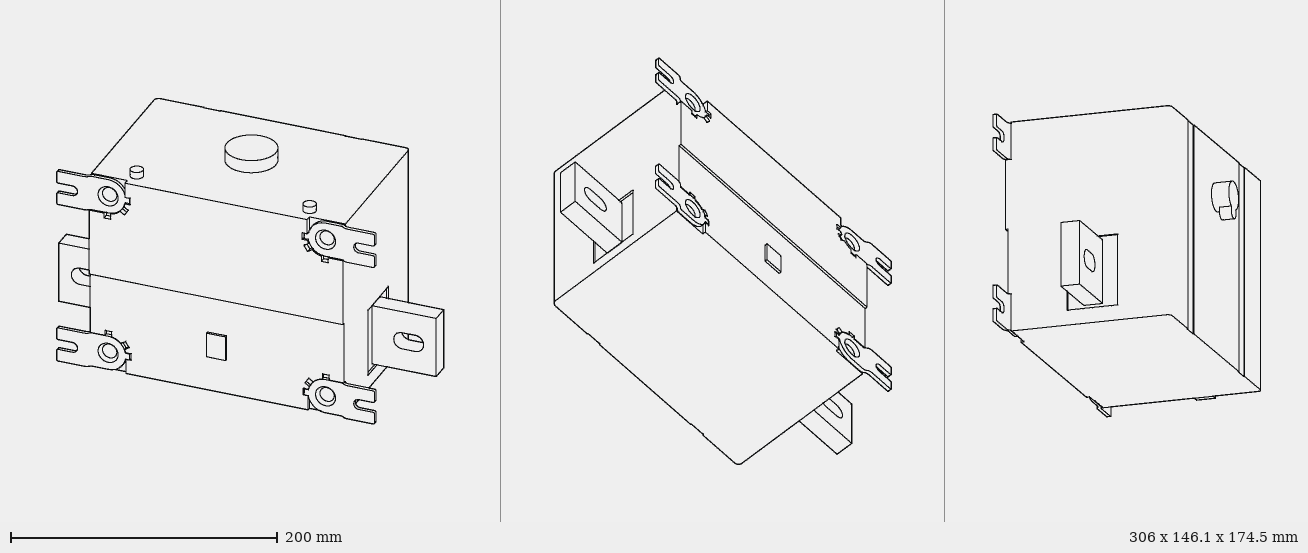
import cadquery as cq
import math


BODY_WIDTH = 206.0
BODY_DEPTH = 131.3
BODY_HEIGHT = 164.0
BACK_EDGE_RADIUS = 3.7
FRONT_STEP = 2.0
FRONT_STEP_HEIGHT = 80.2
BACK_GROOVE_WIDTH = 13.2
BACK_GROOVE_DEPTH = 0.5
BACK_GROOVE_X = 57.2

PLATE_WIDTH = 15.5
PLATE_HEIGHT = 20.2
PLATE_BOTTOM = 29.5

BUTTON_Y = 69.5
BUTTON_DIAMETER = 39.8
BUTTON_HEIGHT = 10.5
PIN_DIAMETER = 10.0
PIN_HEIGHT = 5.5
PIN_X = 70.0
PIN_Y = 14.0

BAR_SPAN = 306.0
BAR_Y = 69.2
BAR_THICKNESS = 15.0
BAR_HEIGHT = 50.0
BAR_BOTTOM = 14.7
BAR_SLOT_LENGTH = 24.2
BAR_SLOT_HEIGHT = 13.8
BAR_SLOT_X = 130.7
BAR_RECESS_HEIGHT = 55.7
BAR_RECESS_WIDTH = 40.0
BAR_RECESS_DEPTH = 1.8

KNOB_DIAMETER = 22.0
KNOB_LENGTH = 13.8
KNOB_Z = 121.8
LUG_WIDTH = 10.7
LUG_LENGTH = 9.5
LUG_DROP = 12.5

EYE_X = 88.0
EYE_Z = 149.0
BRACKET_HEIGHT = 28.5
HOLE_FRONT_DIAMETER = 16.2
HOLE_BACK_DIAMETER = 11.5
BRACKET_THICKNESS = 3.0
BRACKET_END_X = 128.8
BRACKET_PROUD = 1.0
BEND_START_X = 100.5
BEND_INNER_RUN = 2.8
BEND_OUTER_RUN = 3.7
BEND_OFFSET = 2.5
FORK_WIDTH = 8.3
FORK_END_X = 112.0
FORK_CORNER_RADIUS = 1.2
POCKET_DEPTH = BRACKET_THICKNESS + BEND_OFFSET - BRACKET_PROUD

NOTCH_REACH = 18.5
NOTCH_WIDTH = 5.5
NOTCH_ANGLES = (0, -33, -90)
TAB_REACH = 17.5
TAB_WIDTH = 5.2

HALF_WIDTH = BODY_WIDTH / 2
LUG_RADIUS = LUG_WIDTH / 2
EYE_RADIUS = BRACKET_HEIGHT / 2
BAR_Z = BAR_BOTTOM + BAR_HEIGHT / 2


def front_plane(y):
    """Sketch plane parallel to the front; a negative extrusion runs toward the back."""
    return cq.Workplane("XZ", origin=(0, y, 0))


def radial_tongue(reach, width, angle, y, depth):
    """Straight bar from the eye centre outward at an angle in the front plane."""
    direction = math.radians(angle)
    middle_x = -EYE_X + reach / 2 * math.cos(direction)
    middle_z = EYE_Z + reach / 2 * math.sin(direction)
    return (
        front_plane(y)
        .transformed(offset=(middle_x, middle_z, 0), rotate=(0, 0, angle))
        .rect(reach, width)
        .extrude(-depth)
    )


def at_four_corners(upper_left):
    """The upper-left feature copied to all four corners."""
    upper_right = upper_left.mirror("YZ")
    middle = (0, 0, BODY_HEIGHT / 2)
    copies = [upper_left, upper_right]
    copies += [feature.mirror("XY", middle) for feature in (upper_left, upper_right)]
    return copies


def housing():
    body = (
        cq.Workplane("XY")
        .box(BODY_WIDTH, BODY_DEPTH, BODY_HEIGHT, centered=(True, False, False))
        .edges("|Z and >Y")
        .fillet(BACK_EDGE_RADIUS)
    )
    setback = cq.Workplane("XY").box(
        BODY_WIDTH, FRONT_STEP, FRONT_STEP_HEIGHT, centered=(True, False, False)
    )
    grooves = (
        cq.Workplane("XY")
        .pushPoints([(-BACK_GROOVE_X, BODY_DEPTH), (BACK_GROOVE_X, BODY_DEPTH)])
        .rect(BACK_GROOVE_WIDTH, 2 * BACK_GROOVE_DEPTH)
        .extrude(BODY_HEIGHT)
    )
    name_plate = (
        front_plane(0)
        .center(0, PLATE_BOTTOM + PLATE_HEIGHT / 2)
        .rect(PLATE_WIDTH, PLATE_HEIGHT)
        .extrude(-FRONT_STEP)
    )
    return body.cut(setback).cut(grooves).union(name_plate)


def top_button_and_pins():
    top = cq.Workplane("XY", origin=(0, 0, BODY_HEIGHT))
    button = top.center(0, BUTTON_Y).circle(BUTTON_DIAMETER / 2).extrude(BUTTON_HEIGHT)
    pins = top.pushPoints([(-PIN_X, PIN_Y), (PIN_X, PIN_Y)]).circle(PIN_DIAMETER / 2).extrude(PIN_HEIGHT)
    return button.union(pins)


def bar_recesses():
    """Shallow rectangular recesses around the bars in both side faces."""
    return (
        cq.Workplane("XY")
        .pushPoints([(-HALF_WIDTH, BAR_Y), (HALF_WIDTH, BAR_Y)])
        .rect(2 * BAR_RECESS_DEPTH, BAR_RECESS_WIDTH)
        .extrude(BAR_RECESS_HEIGHT)
        .translate((0, 0, BAR_Z - BAR_RECESS_HEIGHT / 2))
    )


def terminal_bars():
    bar = cq.Workplane("XY").box(BAR_SPAN, BAR_THICKNESS, BAR_HEIGHT).translate((0, BAR_Y, BAR_Z))
    slots = (
        front_plane(BAR_Y - BAR_THICKNESS / 2)
        .pushPoints([(-BAR_SLOT_X, BAR_Z), (BAR_SLOT_X, BAR_Z)])
        .slot2D(BAR_SLOT_LENGTH, BAR_SLOT_HEIGHT)
        .extrude(-BAR_THICKNESS)
    )
    return bar.cut(slots)


def rear_knob():
    knob = front_plane(BODY_DEPTH).center(0, KNOB_Z).circle(KNOB_DIAMETER / 2).extrude(-KNOB_LENGTH)
    lug = (
        front_plane(BODY_DEPTH + KNOB_LENGTH - LUG_LENGTH)
        .moveTo(-LUG_RADIUS, KNOB_Z)
        .lineTo(-LUG_RADIUS, KNOB_Z - LUG_DROP)
        .threePointArc((0, KNOB_Z - LUG_DROP - LUG_RADIUS), (LUG_RADIUS, KNOB_Z - LUG_DROP))
        .lineTo(LUG_RADIUS, KNOB_Z)
        .close()
        .extrude(-LUG_LENGTH)
    )
    return knob.union(lug)


def bracket_pocket():
    """Upper-left corner pocket: open to the side and the top, rounded below the eye."""
    sketch = (
        front_plane(0)
        .moveTo(-HALF_WIDTH, BODY_HEIGHT)
        .lineTo(-HALF_WIDTH, EYE_Z - EYE_RADIUS)
        .lineTo(-EYE_X, EYE_Z - EYE_RADIUS)
        .radiusArc((-EYE_X + EYE_RADIUS, EYE_Z), -EYE_RADIUS)
        .lineTo(-EYE_X + EYE_RADIUS, BODY_HEIGHT)
        .close()
    )
    pocket = sketch.extrude(-POCKET_DEPTH)
    for angle in NOTCH_ANGLES:
        pocket = pocket.union(radial_tongue(NOTCH_REACH, NOTCH_WIDTH, angle, 0, POCKET_DEPTH))
    return pocket


def bracket_sheet():
    """Jogged sheet in the upper-left corner, a full bracket height tall."""
    eye_front = POCKET_DEPTH - BRACKET_THICKNESS
    eye_back = POCKET_DEPTH
    arm_front = -BRACKET_PROUD
    arm_back = arm_front + BRACKET_THICKNESS
    bend_middle_x = BEND_START_X + BEND_INNER_RUN
    bend_end_x = bend_middle_x + BEND_OUTER_RUN
    inner_offset = BEND_OFFSET * BEND_INNER_RUN / (BEND_INNER_RUN + BEND_OUTER_RUN)
    inner_x = -EYE_X + TAB_REACH

    return (
        cq.Workplane("XY", origin=(0, 0, EYE_Z - EYE_RADIUS))
        .moveTo(inner_x, eye_front)
        .lineTo(-BEND_START_X, eye_front)
        .tangentArcPoint((-bend_middle_x, eye_front - inner_offset), relative=False)
        .tangentArcPoint((-bend_end_x, arm_front), relative=False)
        .lineTo(-BRACKET_END_X, arm_front)
        .lineTo(-BRACKET_END_X, arm_back)
        .lineTo(-bend_end_x, arm_back)
        .tangentArcPoint((-bend_middle_x, eye_back - inner_offset), relative=False)
        .tangentArcPoint((-BEND_START_X, eye_back), relative=False)
        .lineTo(inner_x, eye_back)
        .close()
        .extrude(BRACKET_HEIGHT)
    )


def bracket():
    """Upper-left bracket: round eye with a locating tab, a jog, and a forked arm."""
    depth = POCKET_DEPTH + BRACKET_PROUD
    fork_centre_x = -FORK_END_X - FORK_WIDTH / 2
    arm_length = BRACKET_END_X - EYE_X

    arm = (
        front_plane(-BRACKET_PROUD)
        .center(-EYE_X - arm_length / 2, EYE_Z)
        .rect(arm_length, BRACKET_HEIGHT)
        .extrude(-depth)
    )
    fork = (
        front_plane(-BRACKET_PROUD)
        .moveTo(-BRACKET_END_X, EYE_Z + FORK_WIDTH / 2)
        .lineTo(fork_centre_x, EYE_Z + FORK_WIDTH / 2)
        .threePointArc((-FORK_END_X, EYE_Z), (fork_centre_x, EYE_Z - FORK_WIDTH / 2))
        .lineTo(-BRACKET_END_X, EYE_Z - FORK_WIDTH / 2)
        .close()
        .extrude(-depth)
    )
    arm = arm.cut(fork).edges("|Y and <X").fillet(FORK_CORNER_RADIUS)
    eye = front_plane(-BRACKET_PROUD).center(-EYE_X, EYE_Z).circle(EYE_RADIUS).extrude(-depth)
    outline = arm.union(eye).union(radial_tongue(TAB_REACH, TAB_WIDTH, 0, -BRACKET_PROUD, depth))

    tapered_hole = (
        front_plane(POCKET_DEPTH - BRACKET_THICKNESS)
        .center(-EYE_X, EYE_Z)
        .circle(HOLE_FRONT_DIAMETER / 2)
        .workplane(offset=-BRACKET_THICKNESS)
        .circle(HOLE_BACK_DIAMETER / 2)
        .loft()
    )
    return bracket_sheet().intersect(outline).cut(tapered_hole)


result = housing().cut(bar_recesses())
for pocket in at_four_corners(bracket_pocket()):
    result = result.cut(pocket)
for feature in (top_button_and_pins(), terminal_bars(), rear_knob()):
    result = result.union(feature)
for corner_bracket in at_four_corners(bracket()):
    result = result.union(corner_bracket)